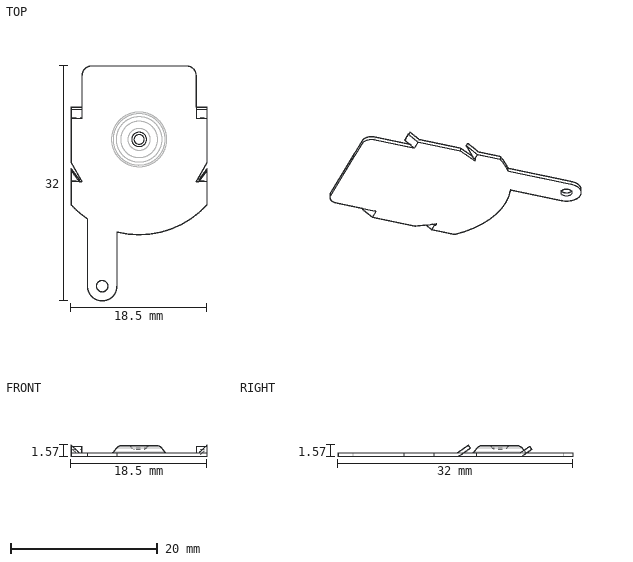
import cadquery as cq
import math

thickness = 0.5
overall_length = 32
overall_height = 1.57
body_half_width = 9.25
shoulder_y = 2.8
disc_radius = 12.5
disc_center_y = -0.48

rear_half_width = 7.78
rear_y = 10.0
rear_corner_radius = 1.35

tail_x = -5.02
tail_radius = 2.0
tail_end_y = rear_y - overall_length
eyelet_y = tail_end_y + tail_radius
eyelet_radius = 0.77

notch_depth = body_half_width - rear_half_width
notch_front_y = -5.75
notch_rear_y = -3.17
tab_angle = 35
square_tab_length = 1.57
pointed_tab_length = (overall_height - thickness) / math.sin(math.radians(tab_angle))
pointed_tab_base = 1.12

foot_outer_radius = 3.75
foot_inner_radius = 3.52
foot_rise = 0.1
foot_height = thickness + foot_rise
shoulder_radius = 3.1
shoulder_height = 1.15
crown_outer_radius = 2.5
crown_height = 1.5
crown_inner_radius = 1.5
throat_radius = 1.0
throat_height = 1.15
floor_radius = 0.67
floor_height = 0.95


def box(x_min, x_max, y_min, y_max):
    """Flat block of sheet thickness between the given limits."""
    size = (x_max - x_min, y_max - y_min, thickness)
    return cq.Workplane("XY").box(*size, centered=False).translate((x_min, y_min, 0))


def make_sheet():
    body = cq.Workplane("XY").center(0, disc_center_y).circle(disc_radius).extrude(thickness)
    body = body.intersect(box(-body_half_width, body_half_width, disc_center_y - disc_radius, shoulder_y))
    rear = box(-rear_half_width, rear_half_width, 0, rear_y)
    rear = rear.edges("|Z and >Y").fillet(rear_corner_radius)
    tail = box(tail_x - tail_radius, tail_x + tail_radius, eyelet_y, 0)
    tail_end = cq.Workplane("XY").center(tail_x, eyelet_y).circle(tail_radius).extrude(thickness)
    eyelet = cq.Workplane("XY").center(tail_x, eyelet_y).circle(eyelet_radius).extrude(thickness)
    notch = (
        cq.Workplane("XY")
        .moveTo(body_half_width, notch_rear_y)
        .lineTo(body_half_width, notch_front_y)
        .lineTo(body_half_width - notch_depth, notch_front_y)
        .close()
        .extrude(thickness)
    )
    sheet = body.union(rear).union(tail).union(tail_end).cut(eyelet)
    return sheet.cut(notch).cut(notch.mirror("YZ"))


def make_tab(hinge_y, length, width):
    """Strip on the +X side, bent up about the top edge of the sheet at hinge_y."""
    slope = math.radians(tab_angle)
    heel = thickness * (1 - math.cos(slope)) / math.sin(slope)
    tip_y = hinge_y + length * math.cos(slope)
    tip_z = thickness + length * math.sin(slope)
    return (
        cq.Workplane("YZ", origin=(body_half_width - width, 0, 0))
        .moveTo(hinge_y, 0)
        .lineTo(hinge_y, thickness)
        .lineTo(tip_y, tip_z)
        .lineTo(tip_y + thickness * math.sin(slope), tip_z - thickness * math.cos(slope))
        .lineTo(hinge_y + heel, 0)
        .close()
        .extrude(width)
    )


def make_pointed_tab():
    """Bent strip trimmed to a triangle square to its own surface."""
    strip = make_tab(notch_front_y, pointed_tab_length, pointed_tab_base)
    root = thickness
    trim = (
        cq.Workplane("XY")
        .moveTo(0, -root)
        .lineTo(0, pointed_tab_length)
        .lineTo(-pointed_tab_base, 0)
        .lineTo(-pointed_tab_base, -root)
        .close()
        .extrude(-2 * thickness)
        .rotate((0, 0, 0), (1, 0, 0), tab_angle)
        .translate((body_half_width, notch_front_y, thickness))
    )
    return strip.intersect(trim)


def make_dome():
    """Raised ring with a rounded rim and a dished centre."""
    foot_run = foot_outer_radius - foot_inner_radius
    foot_fillet = (foot_run**2 + foot_rise**2) / (2 * foot_rise)
    return (
        cq.Workplane("XZ")
        .lineTo(foot_outer_radius, 0)
        .lineTo(foot_outer_radius, thickness)
        .radiusArc((foot_inner_radius, foot_height), foot_fillet)
        .lineTo(shoulder_radius, shoulder_height)
        .tangentArcPoint((crown_outer_radius, crown_height), relative=False)
        .lineTo(crown_inner_radius, crown_height)
        .tangentArcPoint((throat_radius, throat_height), relative=False)
        .lineTo(floor_radius, floor_height)
        .lineTo(0, floor_height)
        .close()
        .revolve(360, (0, 0, 0), (0, 1, 0))
    )


result = make_sheet().union(make_dome())
square_tab = make_tab(shoulder_y, square_tab_length, notch_depth)
for tab in (square_tab, make_pointed_tab()):
    result = result.union(tab).union(tab.mirror("YZ"))